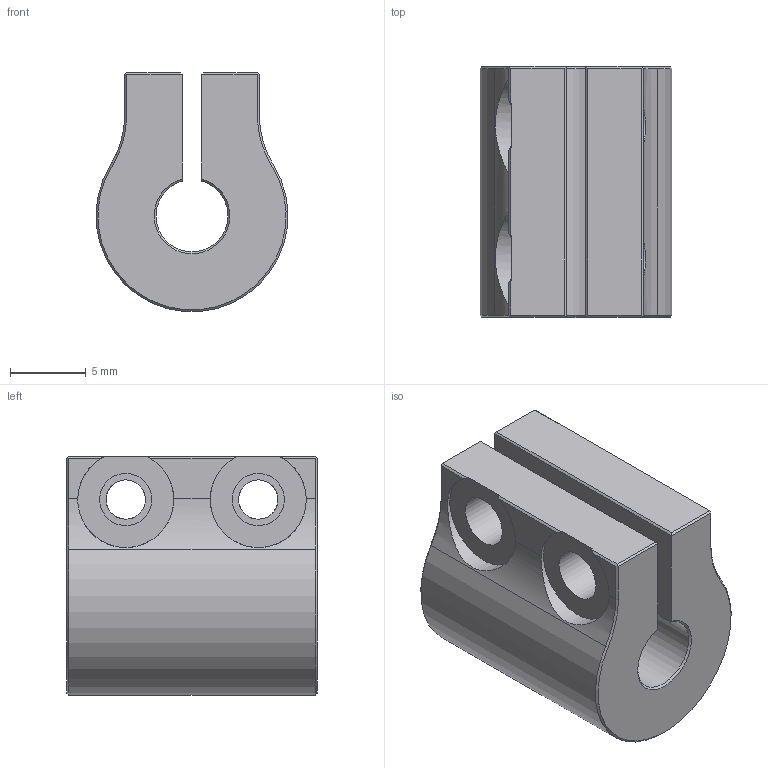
import cadquery as cq
import math

barrel_radius = 6.35
bore_diameter = 4.7625
length = 16.57
top_height = 9.475
ear_half_width = 4.445
blend_radius = 6.35
slot_width = 1.27
edge_chamfer = 0.127

screw_spacing = 8.76
screw_height = 6.63
seat_diameter = 6.35
seat_depth = 0.2
clearance_diameter = 3.45
thread_diameter = 2.6

blend_center_x = ear_half_width + blend_radius
center_distance = barrel_radius + blend_radius
blend_center_z = math.sqrt(center_distance**2 - blend_center_x**2)
barrel_tangent_x = blend_center_x * barrel_radius / center_distance
barrel_tangent_z = blend_center_z * barrel_radius / center_distance

blend_mid_angle = math.atan2(blend_center_z, blend_center_x) / 2
blend_mid_x = blend_center_x - blend_radius * math.cos(blend_mid_angle)
blend_mid_z = blend_center_z - blend_radius * math.sin(blend_mid_angle)


def make_body():
    """Bored clamp body with chamfered end faces, before it is split."""
    outline = (
        cq.Workplane("XZ")
        .moveTo(-ear_half_width, top_height)
        .lineTo(ear_half_width, top_height)
        .lineTo(ear_half_width, blend_center_z)
        .threePointArc((blend_mid_x, blend_mid_z), (barrel_tangent_x, barrel_tangent_z))
        .threePointArc((0, -barrel_radius), (-barrel_tangent_x, barrel_tangent_z))
        .threePointArc((-blend_mid_x, blend_mid_z), (-ear_half_width, blend_center_z))
        .close()
    )
    body = outline.extrude(length / 2, both=True)
    bore = cq.Workplane("XZ").circle(bore_diameter / 2).extrude(length, both=True)
    return body.cut(bore).faces("<Y or >Y").edges().chamfer(edge_chamfer)


def split_ears(body):
    """Cut the slot from the bore to the top and chamfer the long top edges."""
    slot = cq.Workplane("XY").box(slot_width, length, top_height, centered=(True, True, False))
    return body.cut(slot).faces(">Z").edges("|Y").chamfer(edge_chamfer)


def cylinder_along_x(diameter, start_x, end_x, y):
    """Cylinder on a screw axis between two X positions."""
    return (
        cq.Workplane("YZ", origin=(start_x, y, screw_height))
        .circle(diameter / 2)
        .extrude(end_x - start_x)
    )


def cut_screw_hole(body, y):
    """Head seat and clearance hole in the -X ear, smaller thread hole in the +X ear."""
    seat_x = -ear_half_width + seat_depth
    seat = cylinder_along_x(seat_diameter, -barrel_radius, seat_x, y)
    clearance = cylinder_along_x(clearance_diameter, -barrel_radius, 0, y)
    thread = cylinder_along_x(thread_diameter, 0, barrel_radius, y)
    return body.cut(seat).cut(clearance).cut(thread)


result = split_ears(make_body())
for screw_y in (-screw_spacing / 2, screw_spacing / 2):
    result = cut_screw_hole(result, screw_y)